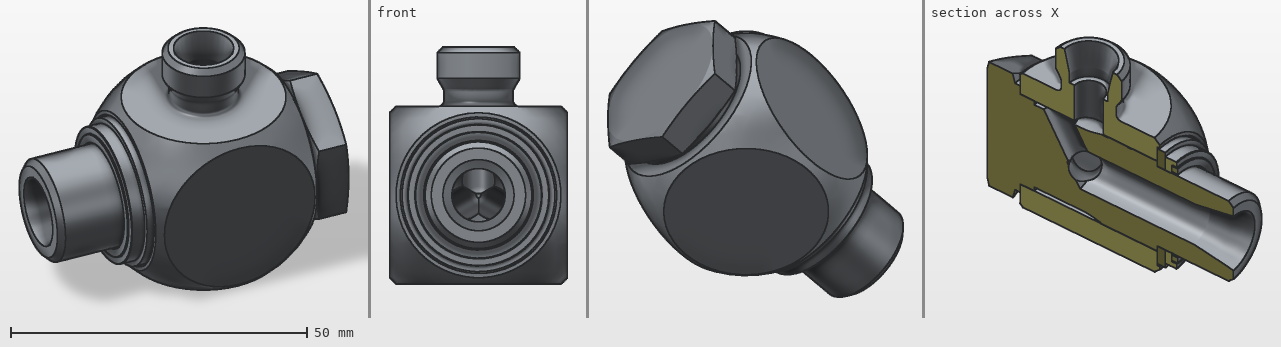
import cadquery as cq
import math


BLOCK_WIDTH = 30.0
HALF_BLOCK = BLOCK_WIDTH / 2
FACE_CIRCLE_D = 27.8
SPHERE_R = math.hypot(HALF_BLOCK, FACE_CIRCLE_D / 2)
HEAD_SEAT_Y = 14.5
SEAL_RECESS_D = 26.4
SEAL_RECESS_DEPTH = 0.5
SHANK_D = 19.95

STUB_TOP_Z = 25.0
STUB_D = 14.0
STUB_CHAMFER = 1.0
STUB_COLLAR_LENGTH = 5.3
STUB_COLLAR_BASE_Z = STUB_TOP_Z - STUB_COLLAR_LENGTH
NECK_D = 11.7
NECK_TAPER_ANGLE = 30
NECK_TOP_Z = STUB_COLLAR_BASE_Z - (STUB_D - NECK_D) / 2 / math.tan(math.radians(NECK_TAPER_ANGLE))
NECK_TOP_FILLET = 0.8
EDGE_PICK_MARGIN = 0.05
NECK_BASE_FILLET = 1.0
STUB_MOUTH_D = 10.15
TUBE_SOCKET_D = 8.0
STUB_CONE_HALF_ANGLE = 12
STUB_CONE_DEPTH = (STUB_MOUTH_D - TUBE_SOCKET_D) / 2 / math.tan(math.radians(STUB_CONE_HALF_ANGLE))
TUBE_SOCKET_DEPTH = 7.0
STUB_BORE_D = 6.0

BOLT_HEAD_Y = 21.5
BOLT_LENGTH = 52.0
BOLT_TIP_Y = BOLT_HEAD_Y - BOLT_LENGTH
HEX_FLATS = 24.0
HEX_CORNERS = HEX_FLATS / math.cos(math.radians(30))
HEX_BASE_Y = 15.5
HEX_CHAMFER_HEIGHT = 0.45
COLLAR_D = 23.9
THREAD_D = 18.0
THREAD_CHAMFER = 1.05
BOLT_MOUTH_D = 12.0
BOLT_BORE_D = 9.0
BOLT_CONE_DEPTH = 8.3
BORE_TIP_HALF_ANGLE = 59
CROSS_HOLE_D = 5.5
CROSS_HOLE_COUNT = 3
CROSS_HOLE_TILT = 30
CROSS_HOLE_EXIT_Y = 6.25
BORE_TIP_MARGIN = 0.35

WAIST_D = 18.5
WAIST_R = WAIST_D / 2
WAIST_END_Y = 11.45
SHOULDER_ANGLE = 15
SHOULDER_ARC_START_Y = 1.45
SHOULDER_ARC_END_Y = -1.35

CROSS_HOLE_AXIS_Y = CROSS_HOLE_EXIT_Y - WAIST_R * math.tan(math.radians(CROSS_HOLE_TILT))
HOLE_MEETING_Y = CROSS_HOLE_AXIS_Y + CROSS_HOLE_D / 2 / math.cos(math.radians(CROSS_HOLE_TILT))
BORE_TIP_SLOPE = 1 / math.tan(math.radians(BORE_TIP_HALF_ANGLE))
BORE_TIP_Y = HOLE_MEETING_Y + BORE_TIP_MARGIN * (math.tan(math.radians(CROSS_HOLE_TILT)) + BORE_TIP_SLOPE)

WASHER_D = 25.8
WASHER_TOP_Y = SEAL_RECESS_DEPTH - HALF_BLOCK
WASHER_BASE_Y = -16.15

SEAL_COLLAR_D = COLLAR_D
SEAL_COLLAR_BASE_Y = -18.55
SEAL_COLLAR_CHAMFER = 0.1
SOFT_SEAT_D = 21.5
SOFT_SEAT_DEPTH = 1.0
SOFT_RING_D = 21.2
SOFT_RING_BORE_D = 18.5
SOFT_RING_PROUD = 0.2


def y_cylinder(diameter, y_start, y_end):
    """Cylinder on the bolt axis between two Y positions."""
    return cq.Workplane("XZ", origin=(0, y_end, 0)).circle(diameter / 2).extrude(y_end - y_start)


def z_cylinder(diameter, z_start, z_end):
    """Cylinder on the stub axis between two Z positions."""
    return cq.Workplane("XY", origin=(0, 0, z_start)).circle(diameter / 2).extrude(z_end - z_start)


def revolve_about_y(points):
    """Solid of revolution about Y from (radius, y) points."""
    return cq.Workplane("XY").polyline(points).close().revolve(360, (0, 0, 0), (0, 1, 0))


def revolve_about_z(points):
    """Solid of revolution about Z from (radius, z) points."""
    return cq.Workplane("XZ").polyline(points).close().revolve(360, (0, 0, 0), (0, 1, 0))


def make_stub():
    """Outside of the tube stub, from the top of the block up to the mouth."""
    stub = revolve_about_z([
        (0, HALF_BLOCK),
        (NECK_D / 2, HALF_BLOCK),
        (NECK_D / 2, NECK_TOP_Z),
        (STUB_D / 2, STUB_COLLAR_BASE_Z),
        (STUB_D / 2, STUB_TOP_Z - STUB_CHAMFER),
        (STUB_D / 2 - STUB_CHAMFER, STUB_TOP_Z),
        (0, STUB_TOP_Z),
    ])
    neck_top = cq.selectors.BoxSelector(
        (-STUB_D, -STUB_D, NECK_TOP_Z - EDGE_PICK_MARGIN),
        (STUB_D, STUB_D, NECK_TOP_Z + EDGE_PICK_MARGIN),
        boundingbox=True,
    )
    return stub.edges(neck_top).fillet(NECK_TOP_FILLET)


def make_neck_flare():
    """Concave fillet ring where the neck meets the block."""
    neck_r = NECK_D / 2
    flare_r = neck_r + NECK_BASE_FILLET
    flare_top_z = HALF_BLOCK + NECK_BASE_FILLET
    arc_inset = NECK_BASE_FILLET * math.sin(math.radians(45))
    return (
        cq.Workplane("XZ")
        .moveTo(0, HALF_BLOCK)
        .lineTo(flare_r, HALF_BLOCK)
        .threePointArc((flare_r - arc_inset, flare_top_z - arc_inset), (neck_r, flare_top_z))
        .lineTo(0, flare_top_z)
        .close()
        .revolve(360, (0, 0, 0), (0, 1, 0))
    )


def make_stub_passage():
    """Conical mouth, tube socket and bore down to the bolt axis."""
    return revolve_about_z([
        (0, 0),
        (STUB_BORE_D / 2, 0),
        (STUB_BORE_D / 2, STUB_TOP_Z - TUBE_SOCKET_DEPTH),
        (TUBE_SOCKET_D / 2, STUB_TOP_Z - TUBE_SOCKET_DEPTH),
        (TUBE_SOCKET_D / 2, STUB_TOP_Z - STUB_CONE_DEPTH),
        (STUB_MOUTH_D / 2, STUB_TOP_Z),
        (0, STUB_TOP_Z),
    ])


def make_housing():
    block_length = HALF_BLOCK + HEAD_SEAT_Y
    block = cq.Workplane("XY").box(BLOCK_WIDTH, block_length, BLOCK_WIDTH)
    block = block.translate((0, HEAD_SEAT_Y - block_length / 2, 0))
    block = block.intersect(cq.Workplane("XY").sphere(SPHERE_R))
    housing = block.union(make_stub()).union(make_neck_flare())
    shank_bore = y_cylinder(SHANK_D, -HALF_BLOCK, HEAD_SEAT_Y)
    seal_recess = y_cylinder(SEAL_RECESS_D, -HALF_BLOCK, WASHER_TOP_Y)
    return housing.cut(make_stub_passage()).cut(shank_bore).cut(seal_recess)


def make_hex_head():
    """Hexagon with corners at +Z and -Z, chamfered by a cone at both ends."""
    hexagon = (
        cq.Workplane("XZ", origin=(0, BOLT_HEAD_Y, 0))
        .transformed(rotate=(0, 0, 90))
        .polygon(6, HEX_CORNERS)
        .extrude(BOLT_HEAD_Y - HEX_BASE_Y)
    )
    chamfer_envelope = revolve_about_y([
        (0, HEX_BASE_Y),
        (HEX_FLATS / 2, HEX_BASE_Y),
        (HEX_CORNERS / 2, HEX_BASE_Y + HEX_CHAMFER_HEIGHT),
        (HEX_CORNERS / 2, BOLT_HEAD_Y - HEX_CHAMFER_HEIGHT),
        (HEX_FLATS / 2, BOLT_HEAD_Y),
        (0, BOLT_HEAD_Y),
    ])
    return hexagon.intersect(chamfer_envelope)


def make_bolt_bore():
    """Blind drilled bore with a conical tip and a long conical mouth at the thread end."""
    return revolve_about_y([
        (0, BOLT_TIP_Y),
        (BOLT_MOUTH_D / 2, BOLT_TIP_Y),
        (BOLT_BORE_D / 2, BOLT_TIP_Y + BOLT_CONE_DEPTH),
        (BOLT_BORE_D / 2, BORE_TIP_Y - BOLT_BORE_D / 2 * BORE_TIP_SLOPE),
        (0, BORE_TIP_Y),
    ])


def make_waist_cut():
    """Ring removed from the shank to leave the waist and its blended shoulder."""
    shank_r = SHANK_D / 2
    slope = math.radians(SHOULDER_ANGLE)
    arc_r = (SHOULDER_ARC_START_Y - SHOULDER_ARC_END_Y) / math.sin(slope)
    arc_end_r = WAIST_R + arc_r * (1 - math.cos(slope))
    arc_middle = (
        WAIST_R + arc_r * (1 - math.cos(slope / 2)),
        SHOULDER_ARC_START_Y - arc_r * math.sin(slope / 2),
    )
    shoulder_start_y = SHOULDER_ARC_END_Y - (shank_r - arc_end_r) / math.tan(slope)
    return (
        cq.Workplane("XY")
        .moveTo(shank_r, WAIST_END_Y)
        .lineTo(WAIST_R, WAIST_END_Y)
        .lineTo(WAIST_R, SHOULDER_ARC_START_Y)
        .threePointArc(arc_middle, (arc_end_r, SHOULDER_ARC_END_Y))
        .lineTo(shank_r, shoulder_start_y)
        .close()
        .revolve(360, (0, 0, 0), (0, 1, 0))
    )


def make_cross_hole():
    """Hole from the bore out through the waist, tilted towards the head."""
    tilt = math.radians(CROSS_HOLE_TILT)
    start = CROSS_HOLE_D / 2 * math.tan(tilt)
    end = SHANK_D / 2 / math.cos(tilt) + start
    hole = z_cylinder(CROSS_HOLE_D, start, end)
    return hole.rotate((0, 0, 0), (1, 0, 0), -CROSS_HOLE_TILT).translate((0, CROSS_HOLE_AXIS_Y, 0))


def make_bolt():
    shaft = revolve_about_y([
        (0, BOLT_TIP_Y),
        (THREAD_D / 2 - THREAD_CHAMFER, BOLT_TIP_Y),
        (THREAD_D / 2, BOLT_TIP_Y + THREAD_CHAMFER),
        (THREAD_D / 2, WASHER_TOP_Y),
        (SHANK_D / 2, WASHER_TOP_Y),
        (SHANK_D / 2, HEAD_SEAT_Y),
        (COLLAR_D / 2, HEAD_SEAT_Y),
        (COLLAR_D / 2, HEX_BASE_Y),
        (0, HEX_BASE_Y),
    ])
    bolt = shaft.union(make_hex_head()).cut(make_waist_cut()).cut(make_bolt_bore())
    cross_hole = make_cross_hole()
    for index in range(CROSS_HOLE_COUNT):
        angle = index * 360 / CROSS_HOLE_COUNT
        bolt = bolt.cut(cross_hole.rotate((0, 0, 0), (0, 1, 0), angle))
    return bolt


def make_seal_washer():
    washer = y_cylinder(WASHER_D, WASHER_BASE_Y, WASHER_TOP_Y)
    return washer.cut(y_cylinder(THREAD_D, WASHER_BASE_Y, WASHER_TOP_Y))


def make_seal_collar():
    collar = y_cylinder(SEAL_COLLAR_D, SEAL_COLLAR_BASE_Y, WASHER_BASE_Y)
    collar = collar.faces("<Y").edges().chamfer(SEAL_COLLAR_CHAMFER)
    bore = y_cylinder(THREAD_D, SEAL_COLLAR_BASE_Y, WASHER_BASE_Y)
    soft_seat = y_cylinder(SOFT_SEAT_D, SEAL_COLLAR_BASE_Y, SEAL_COLLAR_BASE_Y + SOFT_SEAT_DEPTH)
    return collar.cut(bore).cut(soft_seat)


def make_soft_ring():
    base_y = SEAL_COLLAR_BASE_Y - SOFT_RING_PROUD
    top_y = SEAL_COLLAR_BASE_Y + SOFT_SEAT_DEPTH
    return y_cylinder(SOFT_RING_D, base_y, top_y).cut(y_cylinder(SOFT_RING_BORE_D, base_y, top_y))


housing = make_housing()
bolt = make_bolt()
seal_washer = make_seal_washer()
seal_collar = make_seal_collar()
soft_ring = make_soft_ring()

result = cq.Compound.makeCompound([
    housing.val(),
    bolt.val(),
    seal_washer.val(),
    seal_collar.val(),
    soft_ring.val(),
])